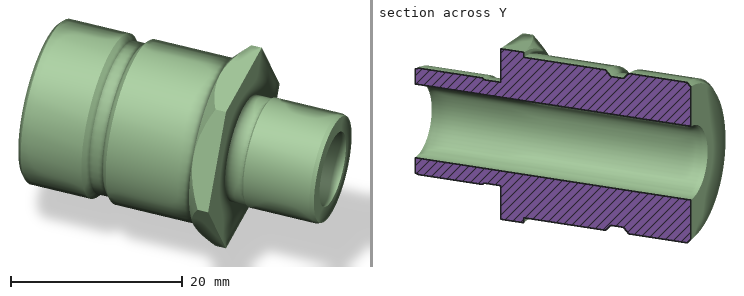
import cadquery as cq
import math

overall_length = 35.5

body_diameter = 19.8
body_chamfer = 0.5

groove_start = 8.0
groove_end = 11.0
groove_depth = 0.7

hex_start = 21.5
hex_end = 24.5
hex_across_flats = 21.0
hex_face_diameter = 20.9

neck_diameter = 12.78
spigot_start = 26.62
spigot_diameter = 13.17
spigot_chamfer_length = 0.5
spigot_chamfer_depth = 0.18

bore_diameter = 9.0

body_radius = body_diameter / 2
groove_radius = body_radius - groove_depth
neck_radius = neck_diameter / 2
spigot_radius = spigot_diameter / 2
spigot_step = spigot_radius - neck_radius
hex_face_radius = hex_face_diameter / 2
hex_across_corners = hex_across_flats / math.cos(math.pi / 6)


def revolve_about_x(outline):
    """Turn a closed outline of (x, radius) points into a solid of revolution about X."""
    return cq.Workplane("XY").polyline(outline).close().revolve(360, (0, 0, 0), (1, 0, 0))


def make_shaft():
    """Body, groove, neck and spigot as one turned profile."""
    return revolve_about_x([
        (0, 0),
        (0, body_radius - body_chamfer),
        (body_chamfer, body_radius),
        (groove_start, body_radius),
        (groove_start + groove_depth, groove_radius),
        (groove_end - groove_depth, groove_radius),
        (groove_end, body_radius),
        (hex_end, body_radius),
        (hex_end, neck_radius),
        (spigot_start, neck_radius),
        (spigot_start + spigot_step, spigot_radius),
        (overall_length - spigot_chamfer_length, spigot_radius),
        (overall_length, spigot_radius - spigot_chamfer_depth),
        (overall_length, 0),
    ])


def make_hex_collar():
    """Hexagon with corners on the Y axis, trimmed by a cone that widens away from the body."""
    hex_length = hex_end - hex_start
    hexagon = (
        cq.Workplane("YZ")
        .workplane(offset=hex_start)
        .polygon(6, hex_across_corners)
        .extrude(hex_length)
    )
    cone = revolve_about_x([
        (hex_start, 0),
        (hex_start, hex_face_radius),
        (hex_end, hex_face_radius + hex_length),
        (hex_end, 0),
    ])
    return hexagon.intersect(cone)


bore = cq.Workplane("YZ").circle(bore_diameter / 2).extrude(overall_length)

result = make_shaft().union(make_hex_collar()).cut(bore)